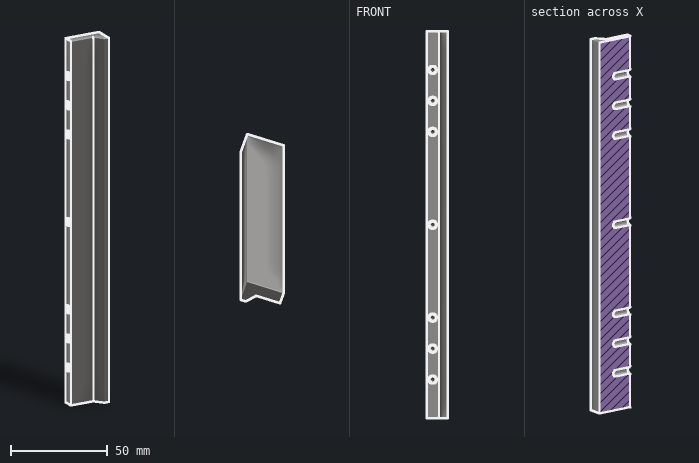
import cadquery as cq
import math

width = 11.0
depth = 20.0
length = 200.0

web_width = 6.3
lip_edge_depth = 3.0
slope_depth = 4.0
edge_radius = 0.5

hole_diameter = 3.24
countersink_diameter = 4.25
countersink_angle = 90.0
hole_depth = 10.0
drill_point_angle = 118.0
hole_x = web_width / 2
hole_offsets = (48.0, 64.0, 80.0)


def cone_height(radius, full_angle):
    """Height of a cone with the given base radius and included angle."""
    return radius / math.tan(math.radians(full_angle / 2))


def make_bar():
    """Extrude the web and its sloped lip along Z."""
    lip_front_y = depth - lip_edge_depth
    return (
        cq.Workplane("XY", origin=(0, 0, -length / 2))
        .lineTo(web_width, 0)
        .lineTo(web_width, lip_front_y - slope_depth)
        .lineTo(width, lip_front_y)
        .lineTo(width, depth)
        .lineTo(0, depth)
        .close()
        .extrude(length)
    )


def round_edges(bar):
    """Round the back, lip tip and both ends; front face edges and the inner corner stay sharp."""
    return bar.faces(">X or >Y or >Z or <Z").edges("not <Y").fillet(edge_radius)


def make_hole(z):
    """Solid of one drilled hole: countersink, bore and drill point, running along +Y."""
    hole_radius = hole_diameter / 2
    countersink_radius = countersink_diameter / 2
    countersink_depth = cone_height(countersink_radius - hole_radius, countersink_angle)
    tip_y = hole_depth + cone_height(hole_radius, drill_point_angle)
    return (
        cq.Workplane("XY", origin=(hole_x, 0, z))
        .lineTo(countersink_radius, 0)
        .lineTo(hole_radius, countersink_depth)
        .lineTo(hole_radius, hole_depth)
        .lineTo(0, tip_y)
        .close()
        .revolve(360, (0, 0), (0, 1))
    )


def drill_holes(bar):
    """Cut one hole at mid length and a mirrored pair for each offset."""
    bar = bar.cut(make_hole(0))
    for offset in hole_offsets:
        bar = bar.cut(make_hole(offset)).cut(make_hole(-offset))
    return bar


result = drill_holes(round_edges(make_bar()))